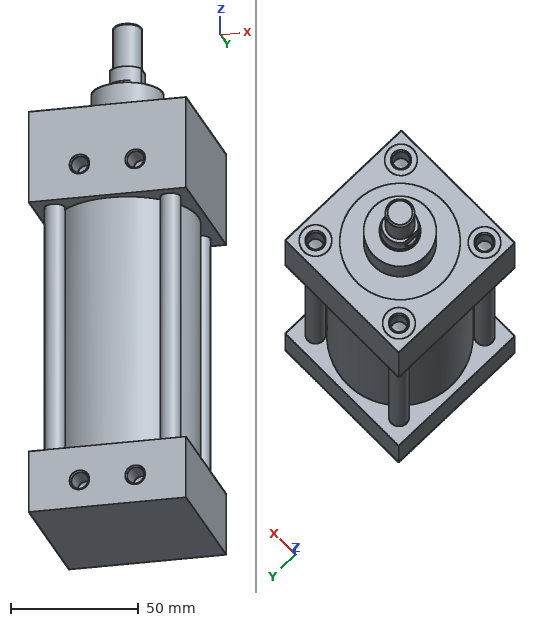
import cadquery as cq
import math

block_side = 63.5
overall_height = 212.7
cap_height = 25.5
tube_length = 104.9
tube_radius = 28.7
head_height = 38.0
head_bottom = cap_height + tube_length
head_top = head_bottom + head_height

tie_rod_spacing = 46.8
tie_rod_radius = 4.0
tie_end_radius = 6.4

gland_radius = 23.6
boss_radius = 14.3
boss_height = 15.7
boss_top = head_top + boss_height
lip_radius = 8.0
lip_height = 1.3
lip_top = boss_top + lip_height

seat_depth = 12.8
seat_floor = head_top - seat_depth

rod_radius = 7.7
neck_radius = 7.2
neck_bottom = 187.8
thread_bottom = 193.8
thread_radius = 5.7
thread_chamfer = 0.9
flats_width = 12.8

hole_mouth_radius = 4.0
hole_chamfer = 0.6
hole_depth = 10.6
drill_tip_angle = 118
port_spacing = 22.5
cap_port_height = 11.5
head_port_height = 144.5


def upright_cylinder(radius, bottom, top):
    """Cylinder on the Z axis between two heights."""
    return cq.Workplane("XY", origin=(0, 0, bottom)).circle(radius).extrude(top - bottom)


def end_block(bottom, height):
    """Square end block standing at the given height."""
    return cq.Workplane("XY", origin=(0, 0, bottom)).rect(block_side, block_side).extrude(height)


def at_tie_rods(height):
    """Workplane at the given height with the four tie rod centres on its stack."""
    plane = cq.Workplane("XY", origin=(0, 0, height))
    return plane.rect(tie_rod_spacing, tie_rod_spacing, forConstruction=True).vertices()


def drilled_hole():
    """Cutter for a blind hole along -Z with its mouth at the origin and a conical floor."""
    bore_radius = hole_mouth_radius - hole_chamfer
    tip_depth = bore_radius / math.tan(math.radians(drill_tip_angle / 2))
    outline = [
        (0, 0),
        (hole_mouth_radius, 0),
        (bore_radius, -hole_chamfer),
        (bore_radius, -hole_depth),
        (0, -hole_depth - tip_depth),
    ]
    return cq.Workplane("XZ").polyline(outline).close().revolve(360, (0, 0), (0, 1))


def cut_ports(body, height):
    """Drill two ports into the -Y face of an end block."""
    port = drilled_hole().rotate((0, 0, 0), (1, 0, 0), 90).translate((0, -block_side / 2, height))
    for side in (-1, 1):
        body = body.cut(port.translate((side * port_spacing / 2, 0, 0)))
    return body


def make_tie_rods():
    """Four tie rods from the cap into the head, each with a wider end."""
    shanks = at_tie_rods(cap_height).circle(tie_rod_radius).extrude(seat_floor - cap_height)
    ends = at_tie_rods(seat_floor).circle(tie_end_radius).extrude(seat_depth)
    return shanks.union(ends)


def make_barrel(tie_rods):
    """Rear cap, tube and tie rods in one body."""
    body = cut_ports(end_block(0, cap_height), cap_port_height)
    body = body.union(upright_cylinder(tube_radius, cap_height, head_bottom))
    body = body.union(tie_rods)
    mounting_hole = drilled_hole()
    for center in at_tie_rods(head_top).vals():
        body = body.cut(mounting_hole.translate(center.toTuple()))
    return body


def make_head(tie_rods):
    """Front block with passages for the tie rods and a recess for the gland plate."""
    body = cut_ports(end_block(head_bottom, head_height), head_port_height)
    return body.cut(tie_rods).cut(upright_cylinder(gland_radius, seat_floor, head_top))


def make_gland():
    """Plate, boss and lip, bored for the piston rod."""
    body = upright_cylinder(gland_radius, seat_floor, head_top)
    body = body.union(upright_cylinder(boss_radius, head_top, boss_top))
    body = body.union(upright_cylinder(lip_radius, boss_top, lip_top))
    return body.cut(upright_cylinder(rod_radius, seat_floor, lip_top))


def flat_cutter():
    """Cutter for the wrench flat on the +X side, with a floor sloping out at 45 degrees."""
    flat_x = flats_width / 2
    outer_x = flats_width
    outline = [
        (flat_x, thread_bottom),
        (flat_x, neck_bottom),
        (outer_x, neck_bottom - (outer_x - flat_x)),
        (outer_x, thread_bottom),
    ]
    return cq.Workplane("XZ").polyline(outline).close().extrude(rod_radius, both=True)


def make_rod():
    """Piston rod with a rounded shoulder, a neck with two wrench flats and a chamfered end."""
    rod = (
        cq.Workplane("XZ")
        .moveTo(0, seat_floor)
        .lineTo(rod_radius, seat_floor)
        .lineTo(rod_radius, lip_top)
        .tangentArcPoint((neck_radius, neck_bottom), relative=False)
        .lineTo(neck_radius, thread_bottom)
        .lineTo(thread_radius, thread_bottom)
        .lineTo(thread_radius, overall_height - thread_chamfer)
        .lineTo(thread_radius - thread_chamfer, overall_height)
        .lineTo(0, overall_height)
        .close()
        .revolve(360, (0, 0), (0, 1))
    )
    flat = flat_cutter()
    return rod.cut(flat).cut(flat.mirror("YZ"))


tie_rods = make_tie_rods()
barrel = make_barrel(tie_rods)
head = make_head(tie_rods)
gland = make_gland()
rod = make_rod()
bodies = [barrel, head, gland, rod]
result = cq.Compound.makeCompound([body.solids().val() for body in bodies])